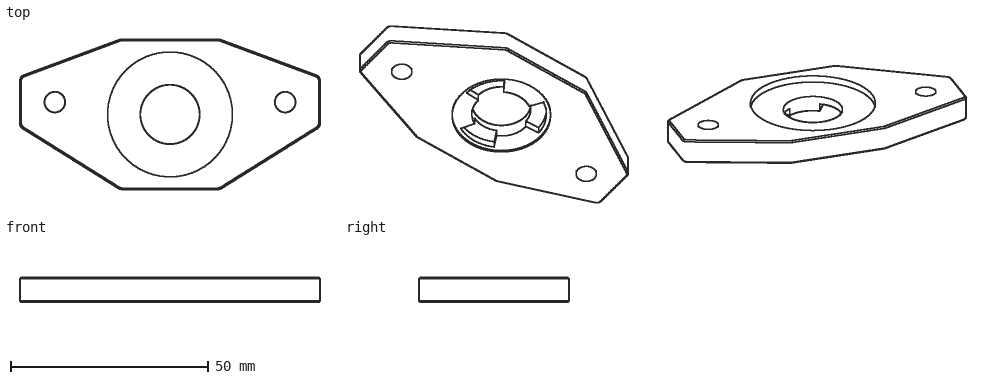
import cadquery as cq
import math

length = 76.2
width = 38.1
thickness = 6.3
end_top = 9.6
end_bottom = -3.1
middle_flat = 25.3
corner_radius = 1.5
edge_chamfer = 0.4

seat_diameter = 31.7
seat_depth = 1.75
bore_diameter = 15.0

relief_diameter = 25.0
relief_depth = 0.5

pocket_count = 3
pocket_span = 55.0
pocket_height = 2.5
pocket_radius = 11.4
first_pocket_angle = 90.0

hole_diameter = 5.2
hole_spacing = 58.45
hole_y = 3.1


def make_plate():
    """Eight-sided plate with rounded corners and chamfered rims."""
    half_flat = middle_flat / 2
    right_side = [
        (half_flat, -width / 2),
        (length / 2, end_bottom),
        (length / 2, end_top),
        (half_flat, width / 2),
    ]
    left_side = [(-x, y) for x, y in reversed(right_side)]
    plate = cq.Workplane("XY").polyline(right_side + left_side).close().extrude(thickness)
    plate = plate.edges("|Z").fillet(corner_radius)
    return plate.faces("<Z or >Z").edges().chamfer(edge_chamfer)


def make_cylinder(diameter, x, y, bottom, top):
    """Vertical cutter between two heights."""
    start = cq.Workplane("XY").workplane(offset=bottom)
    return start.center(x, y).circle(diameter / 2).extrude(top - bottom)


def make_pocket(middle_angle):
    """Sector cutter with radial sides, starting at the bore axis."""
    def rim_point(angle):
        turn = math.radians(angle)
        return (pocket_radius * math.cos(turn), pocket_radius * math.sin(turn))

    start_point = rim_point(middle_angle - pocket_span / 2)
    end_point = rim_point(middle_angle + pocket_span / 2)
    sector = cq.Workplane("XY").lineTo(*start_point)
    sector = sector.threePointArc(rim_point(middle_angle), end_point).close()
    return sector.extrude(pocket_height)


result = make_plate()
result = result.cut(make_cylinder(seat_diameter, 0, 0, thickness - seat_depth, thickness))
result = result.cut(make_cylinder(bore_diameter, 0, 0, 0, thickness))
result = result.cut(make_cylinder(relief_diameter, 0, 0, 0, relief_depth))

for side in (-1, 1):
    hole = make_cylinder(hole_diameter, side * hole_spacing / 2, hole_y, 0, thickness)
    result = result.cut(hole)

for index in range(pocket_count):
    result = result.cut(make_pocket(first_pocket_angle + index * 360 / pocket_count))